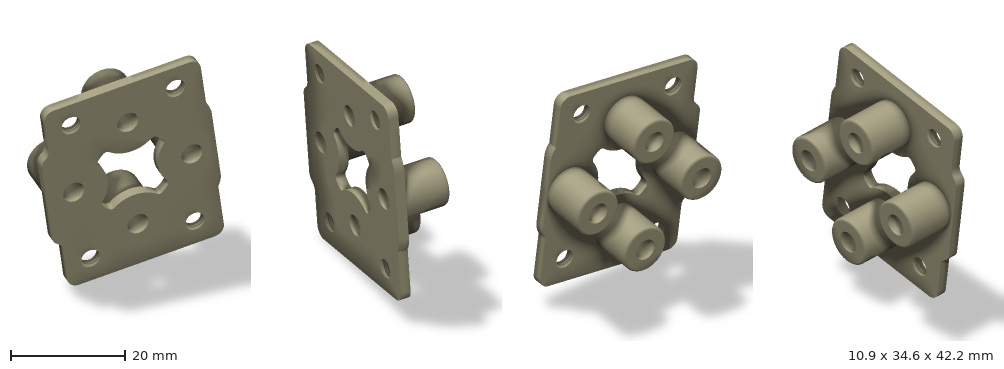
import cadquery as cq
import math

plate_thickness = 2.0
plate_width = 29.95
plate_height = 39.27
plate_tilt = 7.1
plate_shift_y = 0.2
plate_shift_z = -0.2
corner_radius = 2.0
left_bulge_depth = 0.75
left_bulge_face_half_length = 6.85
left_bulge_end_radius = 4.5
right_bulge_depth = 1.7
right_bulge_half_length = 9.5

boss_diameter = 9.0
boss_bore = 4.0
boss_height = 8.85
boss_edge_radius = 0.5
boss_circle_radius = 11.28
boss_tilt = 5.0

window_radius = 8.0
boss_clearance_radius = 6.5
window_corner_radius = 0.85

thread_minor_diameter = 3.35
thread_major_diameter = 4.0
thread_pitch = 0.7
thread_mouth_width = 0.65
thread_hole_spacing_y = 19.97
thread_hole_spacing_z = 30.0
thread_hole_shift_y = 0.13
thread_start_angle = 40.0
thread_root_overlap = 0.05

boss_angles = [boss_tilt + 90 * i for i in range(4)]
boss_centers = [
    (boss_circle_radius * math.cos(math.radians(a)), boss_circle_radius * math.sin(math.radians(a)))
    for a in boss_angles
]


def left_bulge():
    """Bulge on the +Y side: each end is one arc, tangent to the bulge face and sharp at the plate edge."""
    edge = plate_width / 2
    face = edge + left_bulge_depth
    turn = math.acos(1 - left_bulge_depth / left_bulge_end_radius)
    mid_y = face - left_bulge_end_radius * (1 - math.cos(turn / 2))
    mid_z = left_bulge_face_half_length + left_bulge_end_radius * math.sin(turn / 2)
    end_z = left_bulge_face_half_length + left_bulge_end_radius * math.sin(turn)
    return (
        cq.Workplane("YZ")
        .center(plate_shift_y, 0)
        .moveTo(0, end_z)
        .lineTo(edge, end_z)
        .threePointArc((mid_y, mid_z), (face, left_bulge_face_half_length))
        .lineTo(face, -left_bulge_face_half_length)
        .threePointArc((mid_y, -mid_z), (edge, -end_z))
        .lineTo(0, -end_z)
        .close()
        .extrude(plate_thickness)
    )


def right_bulge():
    """Bulge on the -Y side: each end is an S-shaped pair of equal arcs."""
    run = math.sqrt(4 * corner_radius * right_bulge_depth - right_bulge_depth**2) / 2
    turn = math.asin(run / corner_radius)
    mid_y = corner_radius * (1 - math.cos(turn / 2))
    mid_z = corner_radius * math.sin(turn / 2)
    edge = -plate_width / 2
    face = edge - right_bulge_depth
    middle = edge - right_bulge_depth / 2
    half_length = right_bulge_half_length
    foot_z = half_length + run
    face_z = half_length - run
    return (
        cq.Workplane("YZ")
        .center(plate_shift_y, 0)
        .moveTo(0, foot_z)
        .lineTo(edge, foot_z)
        .threePointArc((edge - mid_y, foot_z - mid_z), (middle, half_length))
        .threePointArc((face + mid_y, face_z + mid_z), (face, face_z))
        .lineTo(face, -face_z)
        .threePointArc((face + mid_y, -face_z - mid_z), (middle, -half_length))
        .threePointArc((edge - mid_y, -foot_z + mid_z), (edge, -foot_z))
        .lineTo(0, -foot_z)
        .close()
        .extrude(plate_thickness)
    )


def make_plate():
    plate = (
        cq.Workplane("YZ")
        .center(plate_shift_y, plate_shift_z)
        .rect(plate_width, plate_height)
        .extrude(plate_thickness)
        .edges("|X")
        .fillet(corner_radius)
    )
    return plate.union(left_bulge()).union(right_bulge())


def make_window():
    window = cq.Workplane("YZ").circle(window_radius).extrude(plate_thickness)
    clearance = (
        cq.Workplane("YZ").pushPoints(boss_centers).circle(boss_clearance_radius).extrude(plate_thickness)
    )
    return window.cut(clearance).edges("|X").fillet(window_corner_radius)


def make_bosses():
    return (
        cq.Workplane("YZ")
        .pushPoints(boss_centers)
        .circle(boss_diameter / 2)
        .extrude(-boss_height)
        .faces("<X")
        .edges()
        .fillet(boss_edge_radius)
    )


def make_threaded_hole_cutter():
    """Hole along X with a helical V groove, overrunning both faces of the plate."""
    root_radius = thread_minor_diameter / 2 - thread_root_overlap
    half_mouth = thread_mouth_width / 2
    length = plate_thickness + 2 * thread_pitch
    helix = cq.Wire.makeHelix(thread_pitch, length, root_radius)
    groove = (
        cq.Workplane("XZ")
        .moveTo(root_radius, -half_mouth)
        .lineTo(thread_major_diameter / 2, 0)
        .lineTo(root_radius, half_mouth)
        .close()
        .sweep(cq.Workplane(helix), isFrenet=True)
    )
    bore = cq.Workplane("XY").workplane(offset=-thread_pitch).circle(thread_minor_diameter / 2)
    bore = bore.extrude(length + 2 * thread_pitch)
    return (
        groove.union(bore)
        .translate((0, 0, -thread_pitch))
        .rotate((0, 0, 0), (0, 0, 1), thread_start_angle)
        .rotate((0, 0, 0), (0, 1, 0), 90)
    )


plate = make_plate()
hole_cutter = make_threaded_hole_cutter()
for side_y in (-1, 1):
    for side_z in (-1, 1):
        hole_y = thread_hole_shift_y + side_y * thread_hole_spacing_y / 2
        hole_z = side_z * thread_hole_spacing_z / 2
        plate = plate.cut(hole_cutter.translate((0, hole_y, hole_z)))
plate = plate.rotate((0, 0, 0), (1, 0, 0), plate_tilt)

body = plate.cut(make_window()).union(make_bosses())
bores = (
    cq.Workplane("YZ", origin=(-boss_height, 0, 0))
    .pushPoints(boss_centers)
    .circle(boss_bore / 2)
    .extrude(boss_height + plate_thickness)
)
result = body.cut(bores)